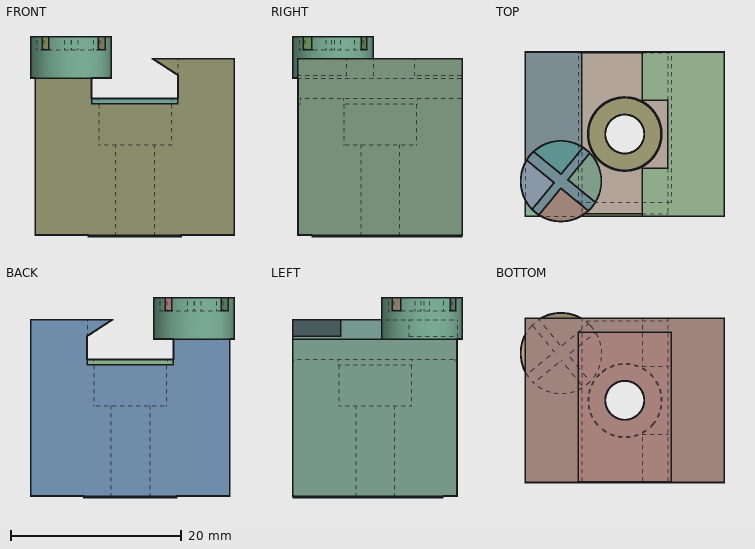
import cadquery as cq

body_length = 23.42
body_width = 19.33
shoulder_height = 18.45
jaw_height = 20.75
groove_floor = 15.42
groove_left = -5.05
groove_right = 5.08
lip_reach = 3.02
lip_depth = 1.96
notch_width = 8.0

insert_thickness = 0.65
insert_front_gap = 0.29
insert_back_gap = 0.1
insert_bore_diameter = 8.72

bore_diameter = 4.55
counterbore_diameter = 8.53
counterbore_depth = 4.8

pad_thickness = 0.22
pad_length = 10.87
pad_front_gap = 1.68

head_diameter = 9.48
head_height = 4.89
head_overhang_x = 0.53
head_overhang_y = 0.62
slot_depth = 1.58
wide_slot_width = 1.3
narrow_slot_width = 1.03
slot_angle = -39.4

left = -body_length / 2
right = body_length / 2
front = -body_width / 2
back = body_width / 2


def block(x_min, x_max, y_min, y_max, z_min, z_max):
    """Box given by its limits along each axis."""
    return cq.Workplane("XY").box(
        x_max - x_min, y_max - y_min, z_max - z_min, centered=False
    ).translate((x_min, y_min, z_min))


def cylinder(diameter, z_min, z_max):
    """Vertical cylinder on the Z axis."""
    return cq.Workplane("XY").workplane(offset=z_min).circle(diameter / 2).extrude(z_max - z_min)


def make_body():
    profile = [
        (left, 0),
        (right, 0),
        (right, jaw_height),
        (groove_right - lip_reach, jaw_height),
        (groove_right, jaw_height - lip_depth),
        (groove_right, groove_floor),
        (groove_left, groove_floor),
        (groove_left, shoulder_height),
        (left, shoulder_height),
    ]
    body = cq.Workplane("XZ").polyline(profile).close().extrude(body_width / 2, both=True)
    lip_notch = block(
        groove_right - lip_reach, groove_right,
        -notch_width / 2, notch_width / 2,
        jaw_height - lip_depth, jaw_height,
    )
    return body.cut(lip_notch)


def make_insert():
    insert_top = groove_floor + insert_thickness
    insert = block(
        groove_left, groove_right,
        front + insert_front_gap, back - insert_back_gap,
        groove_floor, insert_top,
    )
    return insert.cut(cylinder(insert_bore_diameter, groove_floor, insert_top))


def make_pad():
    return block(
        -pad_length / 2, pad_length / 2,
        front + pad_front_gap, back - insert_back_gap,
        -pad_thickness, 0,
    )


def make_screw_head():
    head = cylinder(head_diameter, 0, head_height)
    for width, angle in ((wide_slot_width, slot_angle), (narrow_slot_width, slot_angle + 90)):
        slot = block(
            -head_diameter, head_diameter,
            -width / 2, width / 2,
            head_height - slot_depth, head_height,
        )
        head = head.cut(slot.rotate((0, 0, 0), (0, 0, 1), angle))
    head_x = left - head_overhang_x + head_diameter / 2
    head_y = front - head_overhang_y + head_diameter / 2
    return head.translate((head_x, head_y, shoulder_height))


result = make_body().union(make_insert()).union(make_pad())
result = result.cut(cylinder(bore_diameter, -pad_thickness, groove_floor))
result = result.cut(cylinder(counterbore_diameter, groove_floor - counterbore_depth, groove_floor))
result = result.union(make_screw_head())